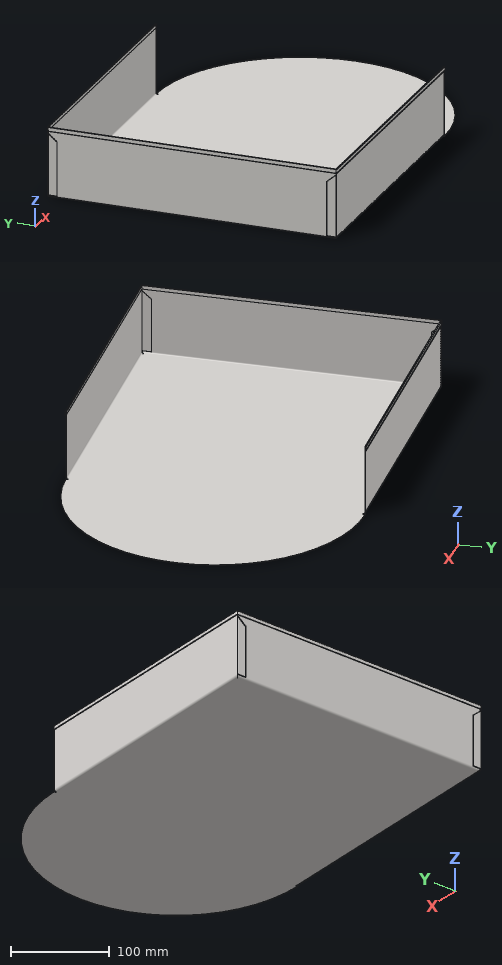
import cadquery as cq

length = 457.5
width = 315.0
height = 76.5
sheet = 0.7
bend_inside = 2.0
bend_outside = bend_inside + sheet
corner_radius = 2.0
hem_height = 4.35
tab_reach = 11.0
tab_top = height - 6.0
tab_mitre = 8.5

wall_x = sheet
half_width = width / 2 - sheet
wall_end = length - half_width


def bent_block(inset, radius):
    """Block filling the tray from the end wall to the wall ends, lower edges rounded."""
    x_start = wall_x + inset
    block_width = 2 * (half_width - inset)
    block = cq.Workplane("XY").box(
        wall_end - x_start, block_width, height - inset, centered=(False, True, False)
    ).translate((x_start, 0, inset))
    return block.edges("<Z and (|X or <X)").fillet(radius)


def walls_and_floor():
    outer = bent_block(0, bend_outside)
    cavity = bent_block(sheet, bend_inside)
    return outer.cut(cavity)


def round_end():
    disc = cq.Workplane("XY").center(wall_end, 0).circle(half_width).extrude(sheet)
    open_side = cq.Workplane("XY").box(
        half_width, width, sheet, centered=(False, True, False)
    ).translate((wall_end, 0, 0))
    return disc.intersect(open_side)


def hem():
    """Strip around the outside of the three wall tops, rounded at the two corners."""
    outer = cq.Workplane("XY").box(wall_end, width, hem_height, centered=(False, True, False))
    outer = outer.edges("|Z and <X").fillet(corner_radius)
    inner = cq.Workplane("XY").box(
        wall_end, 2 * (half_width - sheet), hem_height, centered=(False, True, False)
    ).translate((wall_x + sheet, 0, 0))
    return outer.cut(inner).translate((0, 0, height - hem_height))


def corner_tab():
    """Tab of the +Y side wall, lapped over the end wall with a mitred top edge."""
    tab_inner = width / 2 - tab_reach
    tab = (
        cq.Workplane("YZ")
        .moveTo(tab_inner, bend_outside)
        .lineTo(half_width, bend_outside)
        .lineTo(half_width, tab_top)
        .lineTo(tab_inner, tab_top - tab_mitre)
        .close()
        .extrude(2 * sheet)
    )
    return tab.edges("|Z and >Y and <X").fillet(corner_radius - sheet)


tab = corner_tab()
result = walls_and_floor().union(round_end()).union(hem())
result = result.union(tab).union(tab.mirror("XZ"))